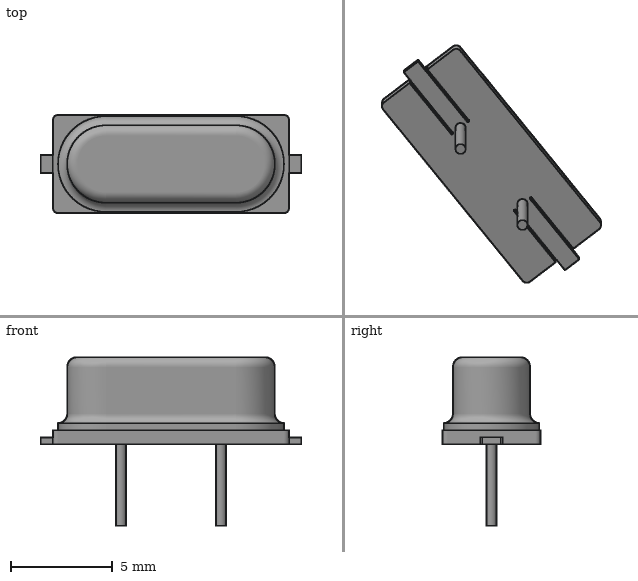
import cadquery as cq

base_length = 11.6
base_width = 4.83
base_height = 0.7
base_corner_radius = 0.25

can_straight = 6.4
flange_width = 4.7
flange_height = 0.35
can_width = 3.8
can_top = 4.29
cap_radius = 0.5
foot_radius = (flange_width - can_width) / 2

pin_diameter = 0.5
pin_spacing = 4.92
pin_length = 4.0

tab_span = 12.8
tab_width = 0.9
tab_height = 0.35
groove_width = 1.11

flange_top = base_height + flange_height


def obround(width, bottom, top):
    """Upright obround prism sharing the can's end-arc centres."""
    return (
        cq.Workplane("XY", origin=(0, 0, bottom))
        .slot2D(can_straight + width, width)
        .extrude(top - bottom)
    )


def radial_bar(side, outer_x, width):
    """Bar on the underside from a pin axis out to outer_x; side is -1 or 1."""
    inner_x = pin_spacing / 2
    return (
        cq.Workplane("XY")
        .center(side * (inner_x + outer_x) / 2, 0)
        .rect(outer_x - inner_x, width)
        .extrude(tab_height)
    )


def make_base():
    return (
        cq.Workplane("XY")
        .box(base_length, base_width, base_height, centered=(True, True, False))
        .edges("|Z")
        .fillet(base_corner_radius)
    )


def foot_profile():
    """Half section of the foot, its outer side a concave quarter arc."""
    half_can = can_width / 2
    arc_offset = foot_radius * (1 - 0.5 ** 0.5)
    return (
        cq.Workplane("YZ")
        .moveTo(0, flange_top)
        .lineTo(flange_width / 2, flange_top)
        .threePointArc(
            (half_can + arc_offset, flange_top + arc_offset),
            (half_can, flange_top + foot_radius),
        )
        .lineTo(0, flange_top + foot_radius)
        .close()
    )


def make_foot():
    straight_half = foot_profile().extrude(can_straight / 2, both=True)
    foot = straight_half.union(straight_half.mirror("XZ"))
    round_end = foot_profile().revolve(360, (0, 0, 0), (0, 1, 0))
    for side in (-1, 1):
        foot = foot.union(round_end.translate((side * can_straight / 2, 0, 0)))
    return foot


def make_can():
    flange = obround(flange_width, base_height, flange_top)
    cap = obround(can_width, flange_top, can_top).faces(">Z").edges().fillet(cap_radius)
    return flange.union(make_foot()).union(cap)


def make_pin(side):
    return (
        cq.Workplane("XY", origin=(side * pin_spacing / 2, 0, -pin_length))
        .circle(pin_diameter / 2)
        .extrude(pin_length + base_height)
    )


result = make_base().union(make_can())
for side in (-1, 1):
    result = result.cut(radial_bar(side, base_length / 2, groove_width))
    result = result.union(radial_bar(side, tab_span / 2, tab_width))
    result = result.union(make_pin(side))